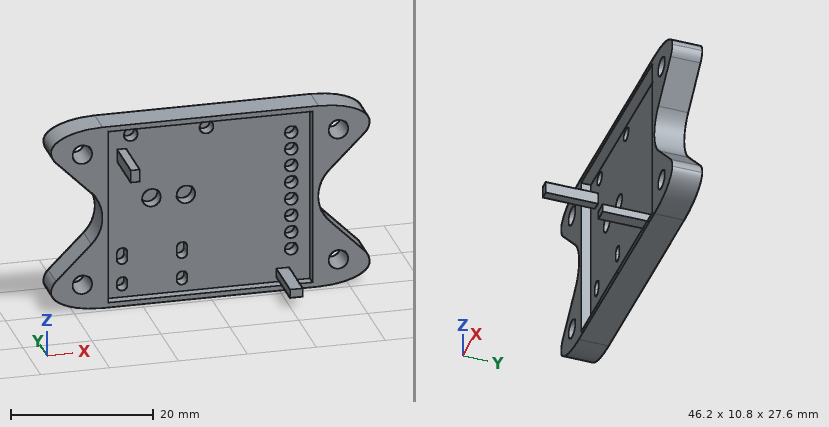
import cadquery as cq
import math

length = 46.2
height = 27.65
thickness = 4.5
total_depth = 10.8
flat_half_length = 15.65
waist_half_length = 15.65
waist_radius = 5.55
tip_height = 10.7

mount_x = 18.6
mount_z = 9.95
mount_diameter = 2.8

pocket_length = 29.65
pocket_height = 26.1
pocket_depth = 1.5

recess_depth = 2.0
upper_hole_centers = [(-11.2, 11.65), (-0.2, 11.65)]
upper_hole_diameter = 2.0
large_hole_centers = [(-8.2, 1.65), (-3.2, 1.65)]
large_hole_diameter = 2.7
row_x = 12.1
row_top_z = 9.55
row_pitch = 2.55
row_count = 8
row_hole_diameter = 1.85
slot_columns = [-12.45, -3.75]
slot_width = 1.53
slot_rows = [(-6.8, 2.45), (-11.05, 2.05)]

pin_long_side = 1.85
pin_short_side = 1.3
left_pin_center = (-12.53, 8.65)
right_pin_center = (10.85, -11.7)


def front_plane(depth):
    """Workplane facing -Y with X right and Z up, set below the front face."""
    return cq.Workplane("XZ", origin=(0, depth, 0))


def make_quarter():
    """One quadrant: elliptical shoulder, tip arc, 45 degree flank, waist arc."""
    half_length = length / 2
    half_height = height / 2
    diagonal = math.sqrt(0.5)
    radius_sum = (tip_height - half_length + waist_half_length) / (2 * diagonal - 1)
    tip_radius = radius_sum - waist_radius

    tip_center_x = half_length - tip_radius
    waist_center_x = waist_half_length + waist_radius
    mid_cos = math.cos(math.pi / 8)
    mid_sin = math.sin(math.pi / 8)
    shoulder_length = half_length - flat_half_length
    shoulder_height = half_height - tip_height

    return (
        front_plane(thickness)
        .lineTo(0, half_height)
        .lineTo(flat_half_length, half_height)
        .ellipseArc(shoulder_length, shoulder_height, 0, 90, sense=-1, startAtCurrent=True)
        .threePointArc(
            (tip_center_x + tip_radius * mid_cos, tip_height - tip_radius * mid_sin),
            (tip_center_x + tip_radius * diagonal, tip_height - tip_radius * diagonal),
        )
        .lineTo(waist_center_x - waist_radius * diagonal, waist_radius * diagonal)
        .threePointArc(
            (waist_center_x - waist_radius * mid_cos, waist_radius * mid_sin),
            (waist_half_length, 0),
        )
        .close()
        .extrude(thickness)
    )


def make_plate():
    quarter = make_quarter()
    right_half = quarter.union(quarter.mirror("XY"))
    return right_half.union(right_half.mirror("YZ")).clean()


def floor_holes(centers, diameter):
    floor = front_plane(pocket_depth)
    return floor.pushPoints(centers).circle(diameter / 2).extrude(-recess_depth)


def floor_slots(center_z, slot_length):
    centers = [(x, center_z) for x in slot_columns]
    floor = front_plane(pocket_depth)
    return floor.pushPoints(centers).slot2D(slot_length, slot_width, 90).extrude(-recess_depth)


def pin(center, size_x, size_z):
    pin_length = total_depth - thickness + pocket_depth
    return front_plane(pocket_depth).center(*center).rect(size_x, size_z).extrude(pin_length)


result = make_plate()

mount_centers = [(sx * mount_x, sz * mount_z) for sx in (-1, 1) for sz in (-1, 1)]
mount_holes = front_plane(0).pushPoints(mount_centers).circle(mount_diameter / 2).extrude(-thickness)
pocket = front_plane(0).rect(pocket_length, pocket_height).extrude(-pocket_depth)
result = result.cut(mount_holes).cut(pocket)

row_centers = [(row_x, row_top_z - i * row_pitch) for i in range(row_count)]
result = result.cut(floor_holes(upper_hole_centers, upper_hole_diameter))
result = result.cut(floor_holes(large_hole_centers, large_hole_diameter))
result = result.cut(floor_holes(row_centers, row_hole_diameter))
for slot_z, slot_length in slot_rows:
    result = result.cut(floor_slots(slot_z, slot_length))

result = result.union(pin(left_pin_center, pin_short_side, pin_long_side))
result = result.union(pin(right_pin_center, pin_long_side, pin_short_side))